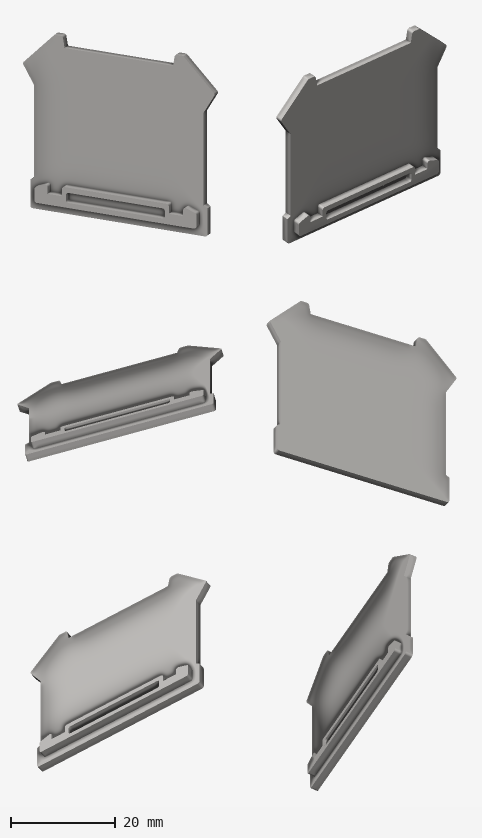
import cadquery as cq
import math

overall_width = 40.6
overall_height = 36.0
plate_thickness = 1.5
rail_height = 1.5
corner_radius = 0.5

base_half_width = 18.75
base_side_height = 5.75
body_half_width = 18.0
shoulder_height = 6.25
wing_tip_height = 29.25
horn_inner_half_width = 11.9
notch_half_width = 11.5
notch_floor_height = 33.65
wing_top_angle = math.radians(45)
wing_under_angle = math.radians(59.2)

rail_half_width = 17.17
rail_bottom = 1.83
rail_top = 5.95
rail_side_top = 4.9
hook_inner_half_width = 14.37
gap_floor = 4.0
rail_centre_half_width = 11.33
slot_half_width = 10.47
slot_bottom = 2.85
slot_top = 4.9

tip_half_angle = (wing_top_angle + wing_under_angle) / 2
tip_tilt = (wing_under_angle - wing_top_angle) / 2
tip_loss = corner_radius * (math.cos(tip_tilt) / math.sin(tip_half_angle) - 1)
tip_half_width = overall_width / 2 + tip_loss
horn_outer_half_width = tip_half_width - (overall_height - wing_tip_height) / math.tan(wing_top_angle)
wing_start_height = wing_tip_height - (tip_half_width - body_half_width) * math.tan(wing_under_angle)


def mirrored_prism(right_half, thickness):
    """Extrude a left-right symmetric outline from Y = 0 towards -Y."""
    left_half = [(-x, z) for x, z in reversed(right_half)]
    return cq.Workplane("XZ").polyline(right_half + left_half).close().extrude(thickness)


def round_corners(body, corners):
    """Round the Y-direction edges at the given corners and their mirror images."""
    reach = 0.05
    depth = plate_thickness + rail_height
    for x, z in corners:
        for side in (-1, 1):
            edge = cq.selectors.BoxSelector(
                (side * x - reach, -depth, z - reach), (side * x + reach, depth, z + reach)
            )
            body = body.edges("|Y").edges(edge).fillet(corner_radius)
    return body


def make_plate():
    base_corner = (base_half_width, 0)
    wing_tip = (tip_half_width, wing_tip_height)
    horn_outer = (horn_outer_half_width, overall_height)
    horn_inner = (horn_inner_half_width, overall_height)
    outline = [
        base_corner,
        (base_half_width, base_side_height),
        (body_half_width, shoulder_height),
        (body_half_width, wing_start_height),
        wing_tip,
        horn_outer,
        horn_inner,
        (notch_half_width, notch_floor_height),
    ]
    plate = mirrored_prism(outline, plate_thickness)
    return round_corners(plate, [base_corner, wing_tip, horn_outer, horn_inner])


def make_rail():
    bottom_corner = (rail_half_width, rail_bottom)
    side_corner = (rail_half_width, rail_side_top)
    hook_peak = (hook_inner_half_width, rail_top)
    centre_corner = (rail_centre_half_width, rail_top)
    outline = [
        bottom_corner,
        side_corner,
        hook_peak,
        (hook_inner_half_width, gap_floor),
        (rail_centre_half_width, gap_floor),
        centre_corner,
    ]
    rail = mirrored_prism(outline, rail_height)
    rail = round_corners(rail, [bottom_corner, side_corner, hook_peak, centre_corner])

    slot_outline = [(slot_half_width, slot_bottom), (slot_half_width, slot_top)]
    slot = mirrored_prism(slot_outline, rail_height)
    return rail.cut(round_corners(slot, slot_outline))


result = make_plate().union(make_rail().translate((0, -plate_thickness, 0)))